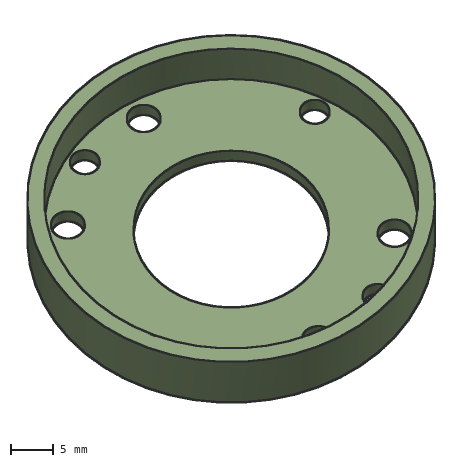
import cadquery as cq

outer_diameter = 48.0
inner_diameter = 44.0
height = 8.0
floor_thickness = 2.0
bore_diameter = 23.0

axis_hole_diameter = 3.5
axis_hole_radius = 19.8

corner_hole_diameter = 4.0
corner_spacing_x = 34.0
corner_spacing_y = 18.0


def make_cup():
    """Round cup, open at the top, with its underside at Z = 0."""
    body = cq.Workplane("XY").circle(outer_diameter / 2).extrude(height)
    recess = (
        cq.Workplane("XY")
        .workplane(offset=floor_thickness)
        .circle(inner_diameter / 2)
        .extrude(height - floor_thickness)
    )
    return body.cut(recess)


def make_floor_cutters():
    """Cylinders for the central bore and both sets of floor holes."""
    bore = cq.Workplane("XY").circle(bore_diameter / 2).extrude(floor_thickness)
    axis_holes = (
        cq.Workplane("XY")
        .polarArray(axis_hole_radius, 0, 360, 4)
        .circle(axis_hole_diameter / 2)
        .extrude(floor_thickness)
    )
    corner_holes = (
        cq.Workplane("XY")
        .rarray(corner_spacing_x, corner_spacing_y, 2, 2)
        .circle(corner_hole_diameter / 2)
        .extrude(floor_thickness)
    )
    return [bore, axis_holes, corner_holes]


result = make_cup()
for cutter in make_floor_cutters():
    result = result.cut(cutter)